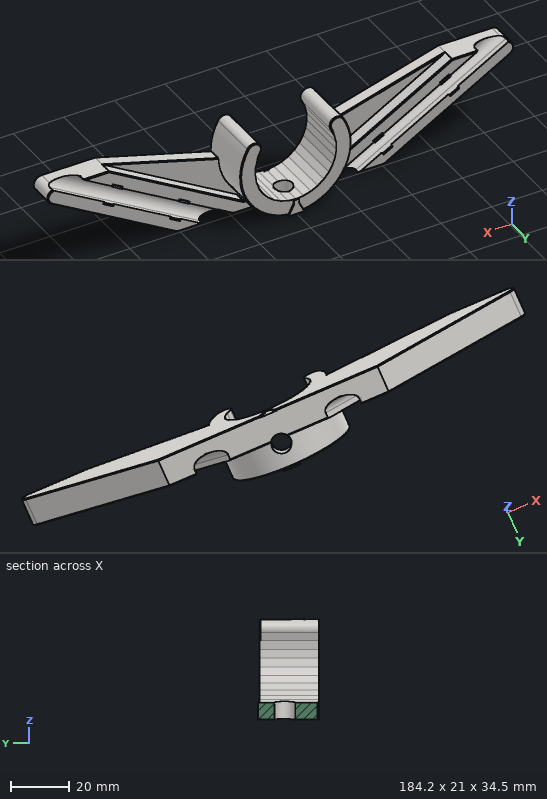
import cadquery as cq
import math

length = 184.2
height = 34.5
tip_radius = 3.1
underside_angle = 30.0
shoulder_x = 67.8
front_slope_angle = 16.0
rear_slope_angle = 30.0
rear_inner_x = 14.7
front_layer_depth = 5.3
wing_depth = 10.1
edge_chamfer = 0.4

ring_outer_radius = 22.0
ring_inner_radius = 16.0
ring_depth = 20.5
ring_end_angle = 30.0
ring_center_z = ring_outer_radius
ring_mid_radius = (ring_outer_radius + ring_inner_radius) / 2
ring_end_radius = (ring_outer_radius - ring_inner_radius) / 2
bore_facets = 22

hole_diameter = 7.0
hole_y = 11.8

groove_x = 84.2
groove_radius = 3.1
groove_axis_y = 8.0

ridge_xs = (40.1, 66.5)
ridge_length = 4.2
ridge_width = 0.7
ridge_height = 0.5

key_base_width = 6.5
key_neck_width = 2.0
key_shoulder_z = 4.2
key_depth = 0.5


def polar(radius, angle):
    """Point on a circle about the ring axis; angle in degrees from +X."""
    turn = math.radians(angle)
    return (radius * math.cos(turn), ring_center_z + radius * math.sin(turn))


def extrude_y(sketch, start, end):
    """Extrude an XZ sketch made by a function of a workplane from y=start to y=end."""
    plane = cq.Workplane("XZ", origin=(0, start, 0))
    return sketch(plane).extrude(start - end)


def wing_outline(plane, inner_x, slope_angle):
    """Both wings as one outline; the top edge falls from the shoulders to +-inner_x."""
    tip_x = length / 2 - tip_radius
    tip_z = height - tip_radius
    under = math.radians(underside_angle)
    tangent_x = tip_x + tip_radius * math.sin(under)
    tangent_z = tip_z - tip_radius * math.cos(under)
    corner_x = tangent_x - tangent_z / math.tan(under)
    inner_z = height - (shoulder_x - inner_x) * math.tan(math.radians(slope_angle))
    return (
        plane.moveTo(-corner_x, 0)
        .lineTo(-tangent_x, tangent_z)
        .threePointArc((-length / 2, tip_z), (-tip_x, height))
        .lineTo(-shoulder_x, height)
        .lineTo(-inner_x, inner_z)
        .lineTo(inner_x, inner_z)
        .lineTo(shoulder_x, height)
        .lineTo(tip_x, height)
        .threePointArc((length / 2, tip_z), (tangent_x, tangent_z))
        .lineTo(corner_x, 0)
        .close()
    )


def make_wings():
    front = extrude_y(lambda p: wing_outline(p, ring_outer_radius, front_slope_angle), 0, front_layer_depth)
    front = front.faces("<Y or >Y").chamfer(edge_chamfer)
    rear = extrude_y(lambda p: wing_outline(p, rear_inner_x, rear_slope_angle), edge_chamfer, wing_depth)
    rear = rear.faces(">Y").chamfer(edge_chamfer)
    return front.union(rear)


def bore_corners():
    """Corners of the faceted bore, from the right arm end round the bottom to the left arm end."""
    sweep = 180 + 2 * ring_end_angle
    return [polar(ring_inner_radius, ring_end_angle - sweep * i / bore_facets) for i in range(bore_facets + 1)]


def ring_outline(plane):
    outer_end = polar(ring_outer_radius, ring_end_angle)
    corners = bore_corners()
    end_x, end_z = polar(ring_mid_radius, ring_end_angle)
    turn = math.radians(ring_end_angle)
    crown = (end_x - ring_end_radius * math.sin(turn), end_z + ring_end_radius * math.cos(turn))
    return (
        plane.moveTo(*outer_end)
        .threePointArc(crown, corners[0])
        .polyline(corners[1:], includeCurrent=True)
        .threePointArc((-crown[0], crown[1]), (-outer_end[0], outer_end[1]))
        .threePointArc(polar(ring_outer_radius, -90), outer_end)
        .close()
    )


def make_ring():
    """Ring with its curved rear edges chamfered."""
    ring = extrude_y(ring_outline, 0, ring_depth)
    return ring.faces(">Y").edges("%CIRCLE").chamfer(edge_chamfer)


def bore_outline(plane):
    return plane.polyline(bore_corners()).close()


def key_outline(plane):
    base = key_base_width / 2
    neck = key_neck_width / 2
    top_z = ring_center_z - ring_inner_radius
    return plane.polyline(
        [(-base, 0), (base, 0), (neck, key_shoulder_z), (neck, top_z), (-neck, top_z), (-neck, key_shoulder_z)]
    ).close()


def slope_along_wing(solid, x):
    """Turn a solid built along X at the origin to the left wing's slope, centred on the groove axis at -x."""
    slope = math.radians(underside_angle)
    axis_z = height - (groove_x - x) * math.tan(slope)
    return solid.rotate((0, 0, 0), (0, 1, 0), underside_angle).translate((-x, 0, axis_z))


def make_groove():
    """Round-bottomed groove, open to the rear and at both ends."""
    rod = cq.Workplane("YZ").center(groove_axis_y, 0).circle(groove_radius).extrude(length / 2, both=True)
    mouth = cq.Workplane("XY").box(length, wing_depth, 2 * groove_radius, centered=(True, False, True))
    return slope_along_wing(rod.union(mouth.translate((0, groove_axis_y, 0))), groove_x)


def make_ridge(x, side):
    offset = side * (groove_radius + ridge_width / 2)
    ridge = cq.Workplane("XY").box(ridge_length, ridge_height, ridge_width, centered=(True, False, True))
    return slope_along_wing(ridge.translate((0, wing_depth, offset)), x)


def both_sides(solid):
    return solid.union(solid.mirror("YZ"))


result = make_wings()
result = result.cut(extrude_y(bore_outline, 0, wing_depth))
result = result.cut(both_sides(make_groove()))
for x in ridge_xs:
    for side in (-1, 1):
        result = result.union(both_sides(make_ridge(x, side)))
result = result.union(make_ring())
result = result.union(extrude_y(key_outline, ring_depth, ring_depth + key_depth))
result = result.cut(extrude_y(key_outline, 0, key_depth))
hole = cq.Workplane("XY").center(0, hole_y).circle(hole_diameter / 2).extrude(ring_center_z)
result = result.cut(hole)